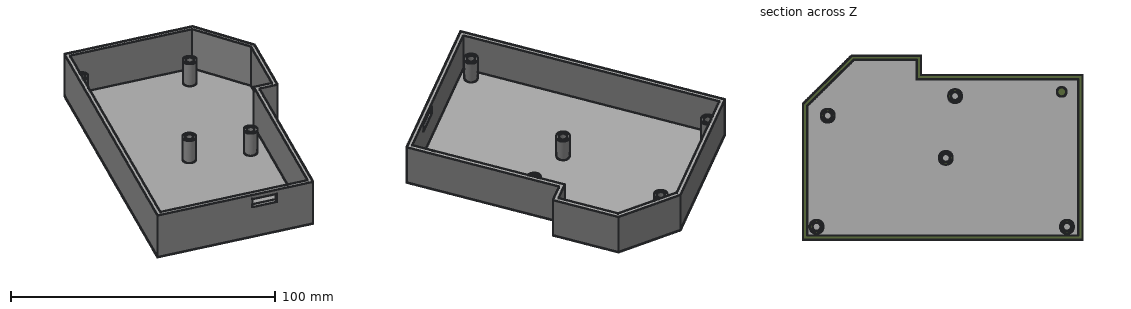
import cadquery as cq

length = 105.9
width = 69.8
height = 20.0
wall = 1.7
floor = 1.3

bevel_x = 18.5
bevel_y = 18.3
step_x = 44.8
step_y = 62.5

post_height = 10.6
post_diameter = 5.2
post_bore = 3.1
post_centers = [
    (5.2, 5.0),
    (100.0, 5.0),
    (54.1, 31.0),
    (9.4, 47.0),
    (57.6, 54.5),
]
pin_height = 10.6
pin_diameter = 3.6
pin_center = (98.0, 56.0)

window_width = 10.0
window_height = 3.8
window_front_y = 38.0
window_bottom_z = 14.2


def make_outline(base_z):
    """Outer outline of the tray at the given height."""
    return (
        cq.Workplane("XY", origin=(0, 0, base_z))
        .moveTo(0, 0)
        .lineTo(length, 0)
        .lineTo(length, step_y)
        .lineTo(step_x, step_y)
        .lineTo(step_x, width)
        .lineTo(bevel_x, width)
        .lineTo(0, width - bevel_y)
        .close()
    )


def make_tray():
    """Open-topped tray with walls of constant thickness."""
    body = make_outline(0).extrude(height)
    cavity = make_outline(floor).offset2D(-wall, "intersection").extrude(height - floor)
    return body.cut(cavity)


def make_posts():
    """Posts bored down to the tray floor."""
    return (
        cq.Workplane("XY", origin=(0, 0, floor))
        .pushPoints(post_centers)
        .circle(post_diameter / 2)
        .circle(post_bore / 2)
        .extrude(post_height)
    )


def make_pin():
    """Solid pin in the rear right corner."""
    return (
        cq.Workplane("XY", origin=(0, 0, floor))
        .center(*pin_center)
        .circle(pin_diameter / 2)
        .extrude(pin_height)
    )


def make_window():
    """Block that cuts the window through the right wall."""
    return cq.Workplane("XY").box(wall, window_width, window_height, centered=False).translate(
        (length - wall, window_front_y, window_bottom_z)
    )


result = make_tray().union(make_posts()).union(make_pin()).cut(make_window())